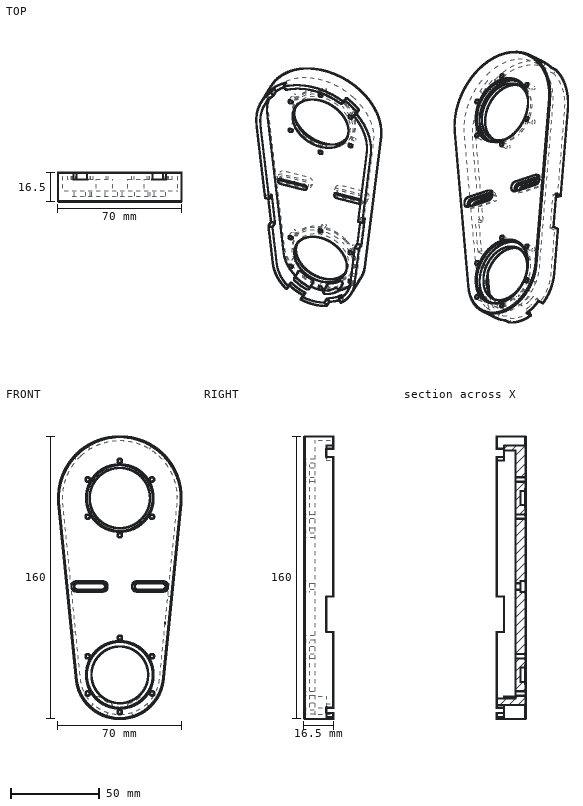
import cadquery as cq
import math

DEPTH = 16.5
UPPER_RADIUS = 35.0
LOWER_RADIUS = 25.0
CENTRE_DISTANCE = 100.0
WALL = 2.5
PLATE = 6.0
RIM_CHAMFER = 0.5

SEAT_DIAMETER = 37.3
SEAT_DEPTH = 3.0
SEAT_CHAMFER = 0.5
UPPER_BORE_DIAMETER = 34.0
LOWER_BORE_DIAMETER = 32.0

SCREW_DIAMETER = 2.4
SCREW_CIRCLE_DIAMETER = 42.0
SCREW_COUNT = 6

SLOT_SPACING = 34.2
SLOT_Z = -50.0
SLOT_LENGTH = 17.5
SLOT_WIDTH = 3.5
SLOT_RECESS_LENGTH = 20.5
SLOT_RECESS_WIDTH = 6.0
SLOT_RECESS_DEPTH = 3.0

NOTCH_DEPTH = 4.0
NOTCH_FLOOR = DEPTH - NOTCH_DEPTH
END_NOTCH_WIDTH = 10.0
END_NOTCH_REACH = 4 * WALL
UPPER_NOTCH_ANGLE = 40.0
LOWER_NOTCH_ANGLE = 30.0
FLANK_NOTCH_HEIGHT = 20.0
FLANK_NOTCH_Z = -65.7

RIB_INNER_RADIUS = 17.0
RIB_THICKNESS = 2.5
RIB_SPAN = 25.0

LOWER_Z = -CENTRE_DISTANCE


def workplane_at(y):
    """Workplane parallel to the front face, with its normal towards -Y."""
    return cq.Workplane(cq.Plane(origin=(0, y, 0), xDir=(1, 0, 0), normal=(0, -1, 0)))


def extrude_back(sketch, length):
    """Extrude a closed sketch towards +Y."""
    return sketch.extrude(-length)


def outline(y, inset):
    """Closed tangent outline, moved inwards by the inset."""
    upper = UPPER_RADIUS - inset
    lower = LOWER_RADIUS - inset
    sine = (UPPER_RADIUS - LOWER_RADIUS) / CENTRE_DISTANCE
    cosine = math.sqrt(1 - sine**2)
    return (
        workplane_at(y)
        .moveTo(-upper * cosine, -upper * sine)
        .threePointArc((0, upper), (upper * cosine, -upper * sine))
        .lineTo(lower * cosine, LOWER_Z - lower * sine)
        .threePointArc((0, LOWER_Z - lower), (-lower * cosine, LOWER_Z - lower * sine))
        .close()
    )


def shell():
    """Plate and perimeter wall, open at the back."""
    body = extrude_back(outline(0, 0), DEPTH)
    body = body.faces("<Y").chamfer(RIM_CHAMFER)
    return body.cut(extrude_back(outline(PLATE, WALL), DEPTH))


def bore(centre_z, diameter):
    """Cutter for a stepped bore with a chamfered mouth and its ring of screw holes."""
    through = extrude_back(workplane_at(0).center(0, centre_z).circle(diameter / 2), PLATE)
    seat = extrude_back(workplane_at(0).center(0, centre_z).circle(SEAT_DIAMETER / 2), SEAT_DEPTH)
    mouth = cq.Workplane(
        cq.Solid.makeCone(
            SEAT_DIAMETER / 2 + SEAT_CHAMFER,
            SEAT_DIAMETER / 2,
            SEAT_CHAMFER,
            pnt=cq.Vector(0, 0, centre_z),
            dir=cq.Vector(0, 1, 0),
        )
    )
    screws = (
        workplane_at(0)
        .center(0, centre_z)
        .polarArray(SCREW_CIRCLE_DIAMETER / 2, 90, 360, SCREW_COUNT)
        .circle(SCREW_DIAMETER / 2)
    )
    return through.union(seat).union(mouth).union(extrude_back(screws, PLATE))


def stepped_slot(x):
    """Cutter for a slot through the plate with a wider recess at the front."""
    centre = workplane_at(0).center(x, SLOT_Z)
    slot = extrude_back(centre.slot2D(SLOT_LENGTH, SLOT_WIDTH), PLATE)
    recess = extrude_back(centre.slot2D(SLOT_RECESS_LENGTH, SLOT_RECESS_WIDTH), SLOT_RECESS_DEPTH)
    return slot.union(recess)


def end_notch(centre_z, end_radius, angle):
    """Notch through the wall of a round end; the angle runs from +Z towards +X."""
    notch = cq.Workplane("XY").box(END_NOTCH_WIDTH, NOTCH_DEPTH, END_NOTCH_REACH)
    notch = notch.translate((0, DEPTH - NOTCH_DEPTH / 2, end_radius))
    notch = notch.rotate((0, 0, 0), (0, 1, 0), angle)
    return notch.translate((0, 0, centre_z))


def flank_notches():
    """Cutter for the pair of notches through both flanks."""
    notch = cq.Workplane("XY").box(2 * UPPER_RADIUS, NOTCH_DEPTH, FLANK_NOTCH_HEIGHT)
    return notch.translate((0, DEPTH - NOTCH_DEPTH / 2, FLANK_NOTCH_Z))


def rib(side):
    """Arc-shaped rib with round ends, standing behind the plate."""
    inner = RIB_INNER_RADIUS
    middle = inner + RIB_THICKNESS / 2
    outer = inner + RIB_THICKNESS
    start = LOWER_NOTCH_ANGLE - RIB_SPAN / 2
    end = LOWER_NOTCH_ANGLE + RIB_SPAN / 2

    def point(radius, angle):
        turn = math.radians(angle)
        return (side * radius * math.sin(turn), LOWER_Z - radius * math.cos(turn))

    cap_angle = math.degrees(RIB_THICKNESS / 2 / middle)
    profile = (
        workplane_at(PLATE)
        .moveTo(*point(inner, start))
        .threePointArc(point(inner, LOWER_NOTCH_ANGLE), point(inner, end))
        .threePointArc(point(middle, end + cap_angle), point(outer, end))
        .threePointArc(point(outer, LOWER_NOTCH_ANGLE), point(outer, start))
        .threePointArc(point(middle, start - cap_angle), point(inner, start))
        .close()
    )
    return extrude_back(profile, NOTCH_FLOOR - PLATE)


result = shell()
result = result.cut(bore(0, UPPER_BORE_DIAMETER))
result = result.cut(bore(LOWER_Z, LOWER_BORE_DIAMETER))
result = result.cut(flank_notches())
for side in (-1, 1):
    result = result.cut(stepped_slot(side * SLOT_SPACING / 2))
    result = result.cut(end_notch(0, UPPER_RADIUS, side * UPPER_NOTCH_ANGLE))
    result = result.cut(end_notch(LOWER_Z, LOWER_RADIUS, 180 - side * LOWER_NOTCH_ANGLE))
    result = result.union(rib(side))